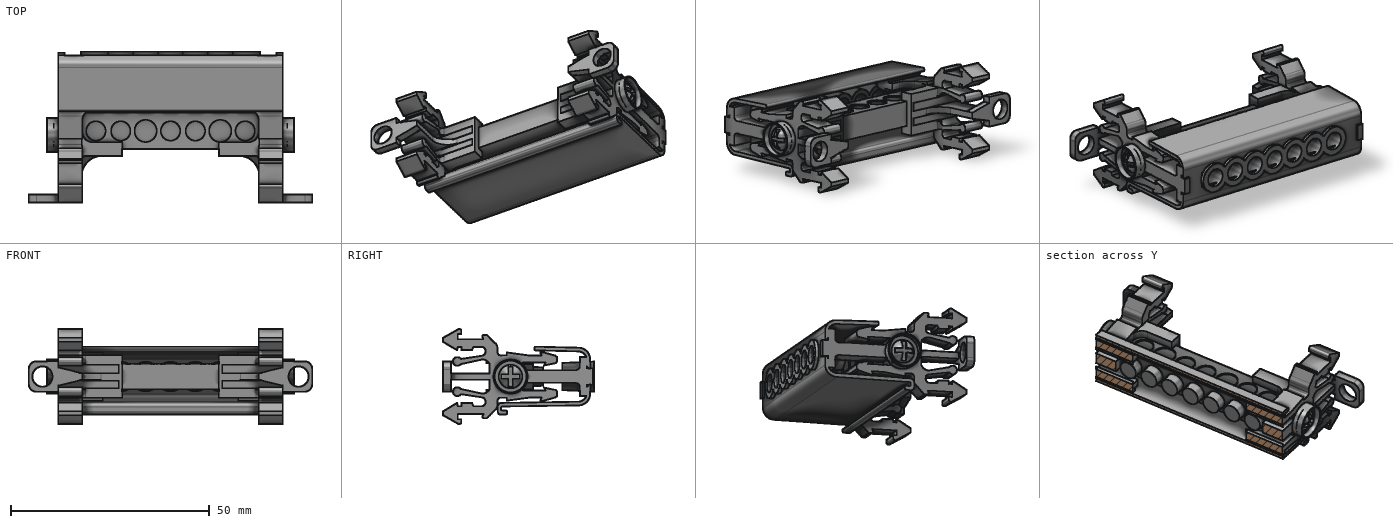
import cadquery as cq


half_length = 28.25
bracket_width = 6.05
inner_face = half_length - bracket_width
front_end = -17.0
back_end = 21.0
overlap = 0.1

tail_back = 20.05
tail_lip_back = 20.7
tail_lip_width = 1.6
tail_half = 2.05
tee_front, tee_back, tee_half = 17.45, 19.2, 4.95
bar_half = 1.62
bar_fillet = 1.1
web_half = 0.81
body_front = -5.2
body_back = 3.16
claw_back = -3.27
claw_top, claw_bottom = 9.45, 7.43
arm_inner, arm_outer = 3.5, 5.3
hook_top = 6.1
bulb_center, bulb_radius = (-13.4, 3.8), 1.12

extension_end = 17.1
window_back = 6.25
window_fillet = 2.6

lug_thickness = 2.05
lug_back = front_end + lug_thickness
lug_half_height = 3.85
lug_end = 71.38 / 2
lug_corner = 1.95
lug_hole_x, lug_hole_radius = 32.2, 2.53
lug_neck_half = 2.3

box_end = 12.2
box_back, box_front, box_half = -1.8, -5.3, 5.37
box_front_fillet = 0.8
slot_end, slot_half = 13.0, 2.92
lower_slot_top = -1.05
front_fillet_gap = 3.3
gusset_radius = 4.7
gusset_front = -9.2
gusset_sag = 1.4

terminal_count = 7
terminal_pitch = 6.26
block_front, block_back, block_half = -3.57, 5.65, 3.2
screw_hole_y = 1.02
screw_hole_radius, large_hole_radius = 2.45, 2.8
large_holes = (2, 5)
screw_hole_depth = 0.4
collar_back = 8.2
collar_radius_front, collar_radius_back = 2.5, 2.35
socket_front = 12.95
socket_radius_front, socket_radius_back = 3.45, 3.8
socket_bore = 2.3

sheet_thickness = 1.0
sheet_bend_y, sheet_bend_z = 17.05, 4.3
sheet_outer = 7.3
sheet_foot_bevel = 0.55
sheet_inner = sheet_outer - sheet_thickness
sheet_rise = 0.25
upper_sheet_end, sheet_tip_radius = 5.95, 0.45

screw_radius, screw_recess_radius = 4.3, 4.0
screw_end = 31.1
screw_recess_depth = 1.75
dome_radius, dome_top = 2.97, 31.25
cross_width, cross_short, cross_depth = 1.15, 4.6, 1.2


def box(x, y, z):
    """Box from its (low, high) limits on each axis."""
    size = (x[1] - x[0], y[1] - y[0], z[1] - z[0])
    return cq.Workplane("XY").box(*size, centered=False).translate((x[0], y[0], z[0]))


def profile_plane(x):
    """Sketch plane whose axes are Y and Z, facing +X."""
    return cq.Workplane("YZ").workplane(offset=x)


def with_mirror(shape, plane):
    return shape.union(shape.mirror(plane))


def arm_profile(x, width):
    """Upper half of the bracket body with its hook arm and claw."""
    return (
        profile_plane(x)
        .moveTo(body_front, 0)
        .lineTo(body_back, 0)
        .lineTo(body_back, arm_inner)
        .lineTo(8.8, arm_inner)
        .lineTo(8.4, 2.75)
        .lineTo(11.1, 3.3)
        .threePointArc((11.55, 3.5), (11.7, 3.87))
        .lineTo(11.7, 4.95)
        .lineTo(11.2, arm_outer)
        .lineTo(8.4, hook_top)
        .lineTo(7.45, hook_top)
        .lineTo(7.75, arm_outer)
        .lineTo(4.9, arm_outer)
        .lineTo(-1.0, hook_top)
        .lineTo(-1.0, arm_outer)
        .lineTo(-2.3, arm_outer)
        .threePointArc((-3.0, 5.55), (claw_back, 6.2))
        .lineTo(claw_back, 7.1)
        .threePointArc((-3.45, 7.9), (-4.0, 8.5))
        .lineTo(-5.95, 10.5)
        .lineTo(-6.4, 10.5)
        .threePointArc((-6.95, 10.4), (-7.1, 9.95))
        .lineTo(-6.85, claw_top)
        .lineTo(-13.27, claw_top)
        .lineTo(-13.27, 10.7)
        .lineTo(-12.35, 10.7)
        .lineTo(-12.35, 11.5)
        .threePointArc((-12.85, 11.99), (-13.3, 11.85))
        .lineTo(front_end, 9.75)
        .lineTo(front_end, 8.73)
        .lineTo(-13.4, 6.57)
        .lineTo(-13.27, claw_bottom)
        .lineTo(-12.4, claw_bottom)
        .lineTo(-12.4, 6.65)
        .lineTo(-9.7, 6.65)
        .lineTo(-9.3, claw_bottom)
        .lineTo(-7.0, claw_bottom)
        .threePointArc((-6.3, 6.4), (-7.0, arm_outer))
        .lineTo(-12.5, 4.45)
        .lineTo(-12.5, 3.1)
        .lineTo(-7.1, 4.27)
        .threePointArc((-6.0, 3.95), (body_front, 3.05))
        .close()
        .extrude(width)
    )


def bracket_arms():
    bulb = profile_plane(inner_face).center(*bulb_center).circle(bulb_radius).extrude(bracket_width)
    upper = arm_profile(inner_face, bracket_width).union(bulb)
    return with_mirror(upper, "XY")


def bracket_tail():
    """Centre bar ending in a tee that holds the cover sheets."""
    width = (inner_face, half_length)
    bar = box(width, (body_back - overlap, tee_front + overlap), (-bar_half, bar_half))
    tee = box(width, (tee_front, tee_back), (-tee_half, tee_half))
    corner_zone = cq.selectors.BoxSelector(
        (inner_face, tee_front - overlap, -bar_half - overlap),
        (half_length, tee_front + overlap, bar_half + overlap),
    )
    root = bar.union(tee).edges(corner_zone).edges("|X").fillet(bar_fillet)
    back = box(width, (tee_front, tail_back), (-tail_half, tail_half))
    lip_width = (half_length - tail_lip_width, half_length)
    lip = box(lip_width, (tee_front, tail_lip_back), (-tail_half, tail_half))
    return root.union(back).union(lip)


def arm_extensions():
    """Barbed arm ends continued inward behind the window."""
    stock = with_mirror(arm_profile(extension_end, inner_face - extension_end), "XY")
    reach = (
        cq.Workplane("XY", origin=(0, 0, -hook_top))
        .moveTo(extension_end, back_end)
        .lineTo(extension_end, window_back)
        .lineTo(inner_face - window_fillet, window_back)
        .radiusArc((inner_face, window_back - window_fillet), window_fillet)
        .lineTo(inner_face, back_end)
        .close()
        .extrude(2 * hook_top)
    )
    return stock.intersect(reach)


def inner_fillet(edge_y, radius, side):
    """Fillet between a box face at edge_y and the bracket; side is +1 behind the box, -1 in front."""
    return (
        cq.Workplane("XY", origin=(0, 0, -box_half))
        .moveTo(inner_face + overlap, edge_y)
        .lineTo(inner_face - radius, edge_y)
        .radiusArc((inner_face, edge_y + side * radius), side * -radius)
        .lineTo(inner_face + overlap, edge_y + side * radius)
        .close()
        .extrude(2 * box_half)
    )


def corner_box():
    """Slotted box with a round gusset, on the inside of the bracket."""
    body = box((box_end, inner_face + overlap), (box_front, box_back), (-box_half, box_half))
    back_fillet = inner_fillet(box_back, window_fillet, 1)
    front_fillet = inner_fillet(box_front, box_front_fillet, -1).cut(box(
        (box_end, half_length),
        (box_front - box_front_fillet, box_front),
        (-front_fillet_gap, front_fillet_gap),
    ))
    body = body.union(back_fillet).union(front_fillet)
    for low, high in ((web_half, slot_half), (-slot_half, lower_slot_top)):
        slot = box((slot_end, half_length), (box_front - box_front_fillet, body_front), (low, high))
        body = body.cut(slot)
    gusset = (
        cq.Workplane("XY", origin=(0, 0, -web_half))
        .moveTo(inner_face + overlap, box_front)
        .lineTo(inner_face - gusset_radius, box_front)
        .threePointArc((inner_face - gusset_sag, box_front - gusset_sag), (inner_face, gusset_front))
        .lineTo(inner_face + overlap, gusset_front)
        .close()
        .extrude(2 * web_half)
    )
    return body.union(gusset)


def lug():
    """Thin web and the eyelet plate at its front end."""
    web = box((inner_face, half_length), (lug_back - overlap, body_front + overlap), (-web_half, web_half))
    eyelet = (
        cq.Workplane("XZ", origin=(0, lug_back, 0))
        .center((half_length + lug_end) / 2, 0)
        .rect(lug_end - half_length, 2 * lug_half_height)
        .extrude(lug_thickness)
        .edges("|Y and >X")
        .fillet(lug_corner)
    )
    neck = (
        cq.Workplane("XZ", origin=(0, lug_back, 0))
        .polyline([
            (inner_face, -web_half),
            (half_length, -lug_neck_half),
            (half_length, lug_neck_half),
            (inner_face, web_half),
        ])
        .close()
        .extrude(lug_thickness)
    )
    hole = (
        cq.Workplane("XZ", origin=(0, lug_back, 0))
        .center(lug_hole_x, 0)
        .circle(lug_hole_radius)
        .extrude(lug_thickness)
    )
    return web.union(eyelet).union(neck).cut(hole)


def end_screw():
    """Collar around a domed, cross-slotted screw head."""
    floor_x = screw_end - screw_recess_depth
    rise = dome_top - floor_x
    sphere_radius = (dome_radius**2 + rise**2) / (2 * rise)
    head = (
        cq.Workplane("XY")
        .moveTo(half_length - overlap, 0)
        .lineTo(half_length - overlap, screw_radius)
        .lineTo(screw_end, screw_radius)
        .lineTo(screw_end, screw_recess_radius)
        .lineTo(floor_x, screw_recess_radius)
        .lineTo(floor_x, dome_radius)
        .radiusArc((dome_top, 0), sphere_radius)
        .close()
        .revolve(360, (0, 0, 0), (1, 0, 0))
    )
    for width, height in ((cross_width, 2 * dome_radius), (cross_short, cross_width)):
        slot = profile_plane(dome_top - cross_depth).rect(width, height).extrude(cross_depth)
        head = head.cut(slot)
    return head


def terminal_positions():
    middle = (terminal_count - 1) / 2
    return [(i - middle) * terminal_pitch for i in range(terminal_count)]


def cone_along_y(x, y_start, radius_start, y_end, radius_end):
    return (
        cq.Workplane("XY")
        .polyline([(0, y_start), (radius_start, y_start), (radius_end, y_end), (0, y_end)])
        .close()
        .revolve(360, (0, 0, 0), (0, 1, 0))
        .translate((x, 0, 0))
    )


def terminal_block():
    block_reach = inner_face + overlap
    block = box((-block_reach, block_reach), (block_front, block_back), (-block_half, block_half))
    for index, x in enumerate(terminal_positions()):
        radius = large_hole_radius if index in large_holes else screw_hole_radius
        recess = (
            cq.Workplane("XY", origin=(x, screw_hole_y, block_half - screw_hole_depth))
            .circle(radius)
            .extrude(screw_hole_depth)
        )
        collar = cone_along_y(
            x, block_back - overlap, collar_radius_front, collar_back, collar_radius_back
        )
        block = block.cut(recess).union(collar)
    return block


def socket_row():
    """Overlapping tapered wire sockets, bored through."""
    row = None
    for x in terminal_positions():
        socket = cone_along_y(x, socket_front, socket_radius_front, back_end, socket_radius_back)
        row = socket if row is None else row.union(socket)
    for x in terminal_positions():
        row = row.cut(cone_along_y(x, socket_front, socket_bore, back_end, socket_bore))
    return row


def start_sheet():
    """Outline of a sheet from its edge in the tail, round the bend, ready for its far end."""
    return (
        profile_plane(-half_length)
        .moveTo(sheet_bend_y, sheet_inner)
        .threePointArc((18.55, 5.65), (tee_back, sheet_bend_z))
        .lineTo(tee_back, tail_half + sheet_foot_bevel)
        .lineTo(tee_back + sheet_foot_bevel, tail_half - overlap)
        .lineTo(tail_back, tail_half - overlap)
        .lineTo(tail_back, sheet_bend_z)
        .threePointArc((19.17, 6.42), (sheet_bend_y, sheet_outer))
    )


def upper_sheet():
    end_outer = sheet_outer + sheet_rise
    end_inner = end_outer - sheet_thickness
    tip_y = upper_sheet_end + sheet_tip_radius
    return (
        start_sheet()
        .lineTo(tip_y, end_outer)
        .radiusArc((upper_sheet_end, end_outer - sheet_tip_radius), -sheet_tip_radius)
        .lineTo(upper_sheet_end, end_inner + sheet_tip_radius)
        .radiusArc((tip_y, end_inner), -sheet_tip_radius)
        .close()
        .extrude(2 * half_length)
    )


def lower_sheet():
    """Longer sheet ending in a curled hook, shaped above Z = 0 and then mirrored."""
    sheet = (
        start_sheet()
        .lineTo(-1.3, sheet_outer + sheet_rise)
        .lineTo(-1.9, sheet_outer + sheet_rise)
        .threePointArc((-2.3, 7.7), (-2.4, 8.05))
        .threePointArc((-2.3, 8.4), (-1.95, 8.5))
        .lineTo(-1.3, 8.5)
        .threePointArc((-0.8, 9.05), (-1.3, 9.6))
        .lineTo(-2.4, 9.6)
        .threePointArc((-3.05, 9.35), (claw_back, 8.75))
        .lineTo(claw_back, 7.55)
        .threePointArc((-3.0, 6.9), (-2.3, 6.6))
        .close()
        .extrude(2 * half_length)
    )
    return sheet.mirror("XY")


def bracket():
    features = (bracket_tail(), arm_extensions(), corner_box(), lug(), end_screw())
    body = bracket_arms()
    for feature in features:
        body = body.union(feature)
    return body


result = with_mirror(bracket(), "YZ")
for component in (terminal_block(), socket_row(), upper_sheet(), lower_sheet()):
    result = result.union(component)